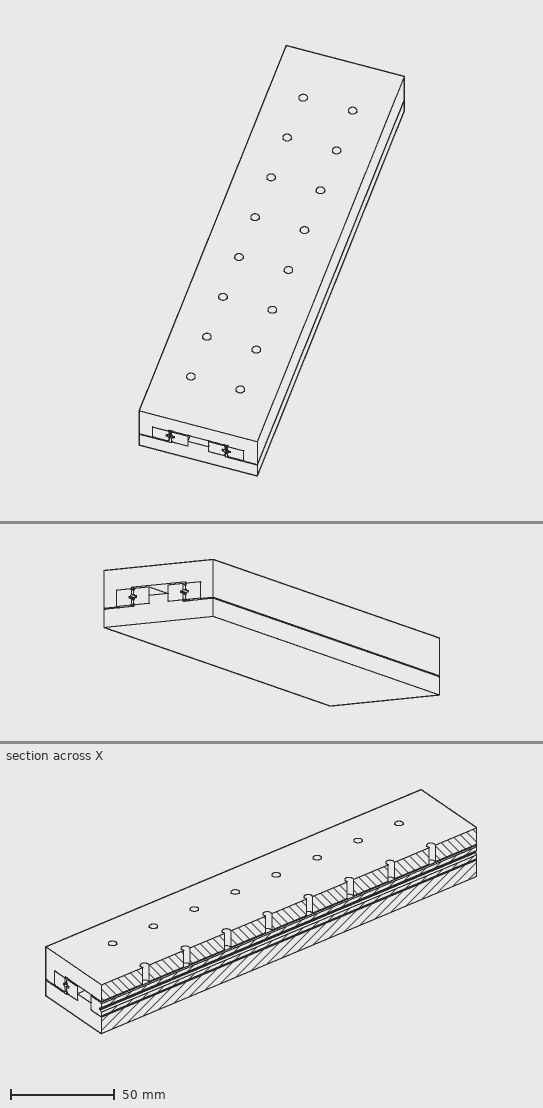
import cadquery as cq

LENGTH = 229.9
WIDTH = 60.0
HEIGHT = 28.0

RAIL_WIDTH = 8.3
RAIL_HEIGHT = 8.0
RAIL_GAP = 1.26
GROOVE_HALF_HEIGHT = 1.1
RELIEF_HALF_HEIGHT = 0.35
RELIEF_DEPTH = 1.4
RAIL_CHAMFER = 0.5
INNER_RAIL_BACK = 5.3
INNER_RAIL_FACE = INNER_RAIL_BACK + RAIL_WIDTH
OUTER_RAIL_FACE = INNER_RAIL_FACE + RAIL_GAP
OUTER_RAIL_BACK = OUTER_RAIL_FACE + RAIL_WIDTH

BASE_SIDE_TOP = 9.0
BASE_RIB_TOP = 13.5
TABLE_BOTTOM = 9.5
RAIL_CLEARANCE = 0.7
RAIL_BOTTOM = BASE_SIDE_TOP + RAIL_CLEARANCE
RAIL_TOP = RAIL_BOTTOM + RAIL_HEIGHT
TABLE_CEILING = RAIL_TOP + RAIL_CLEARANCE

HOLE_DIAMETER = 4.1
HOLE_PITCH = 25.0
HOLES_PER_ROW = 8
HOLE_ROWS = 2


def block(half_width, bottom, top):
    """Full-length block centred on the middle plane, between two levels."""
    return (
        cq.Workplane("XY")
        .workplane(offset=bottom)
        .rect(2 * half_width, LENGTH)
        .extrude(top - bottom)
    )


def make_base():
    """Bottom plate with raised rail seats and a rib between the inner rails."""
    plate = block(WIDTH / 2, 0, BASE_SIDE_TOP)
    seats = block(INNER_RAIL_FACE, BASE_SIDE_TOP, RAIL_BOTTOM)
    rib = block(INNER_RAIL_BACK, RAIL_BOTTOM, BASE_RIB_TOP)
    return plate.union(seats).union(rib)


def make_table():
    """Top plate with a channel for the rails and two rows of mounting holes."""
    plate = block(WIDTH / 2, TABLE_BOTTOM, HEIGHT)
    rail_channel = block(OUTER_RAIL_BACK, TABLE_BOTTOM, RAIL_TOP)
    clearance = block(OUTER_RAIL_FACE, RAIL_TOP, TABLE_CEILING)
    holes = (
        cq.Workplane("XY")
        .workplane(offset=TABLE_CEILING)
        .rarray(HOLE_PITCH, HOLE_PITCH, HOLE_ROWS, HOLES_PER_ROW)
        .circle(HOLE_DIAMETER / 2)
        .extrude(HEIGHT - TABLE_CEILING)
    )
    return plate.cut(rail_channel).cut(clearance).cut(holes)


def make_rail(face_x, back_x):
    """Rail with a relieved V groove and chamfers on the side at face_x."""
    inward = 1 if back_x > face_x else -1
    middle = (RAIL_BOTTOM + RAIL_TOP) / 2
    chamfer_x = face_x + inward * RAIL_CHAMFER
    relief_start_x = face_x + inward * (GROOVE_HALF_HEIGHT - RELIEF_HALF_HEIGHT)
    relief_end_x = face_x + inward * RELIEF_DEPTH
    profile = [
        (face_x, RAIL_BOTTOM + RAIL_CHAMFER),
        (chamfer_x, RAIL_BOTTOM),
        (back_x, RAIL_BOTTOM),
        (back_x, RAIL_TOP),
        (chamfer_x, RAIL_TOP),
        (face_x, RAIL_TOP - RAIL_CHAMFER),
        (face_x, middle + GROOVE_HALF_HEIGHT),
        (relief_start_x, middle + RELIEF_HALF_HEIGHT),
        (relief_end_x, middle + RELIEF_HALF_HEIGHT),
        (relief_end_x, middle - RELIEF_HALF_HEIGHT),
        (relief_start_x, middle - RELIEF_HALF_HEIGHT),
        (face_x, middle - GROOVE_HALF_HEIGHT),
    ]
    return cq.Workplane("XZ").polyline(profile).close().extrude(LENGTH / 2, both=True)


base = make_base()
table = make_table()

rails = []
for side in (-1, 1):
    inner_rail = make_rail(side * INNER_RAIL_FACE, side * INNER_RAIL_BACK)
    outer_rail = make_rail(side * OUTER_RAIL_FACE, side * OUTER_RAIL_BACK)
    rails += [inner_rail.val(), outer_rail.val()]

result = cq.Compound.makeCompound([base.val(), table.val(), *rails])